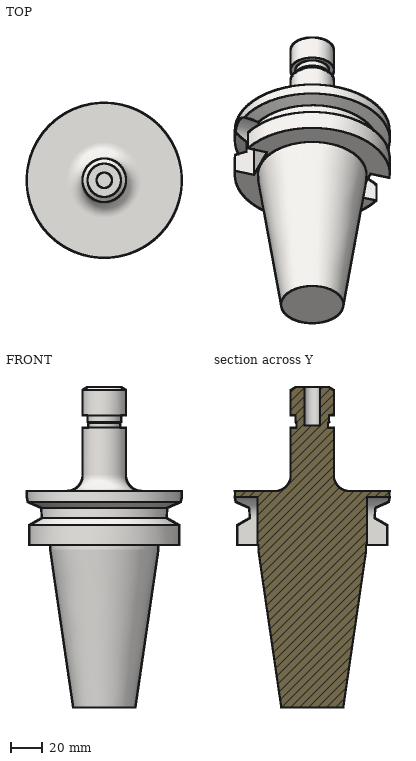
import cadquery as cq

taper_ratio = 7 / 24
gauge_radius = 35.0
gauge_height = 101.7
taper_end_radius = gauge_radius - gauge_height * taper_ratio / 2

flange_radius = 50.0
flange_bottom = 104.8
flange_top = 139.8
groove_radius = 42.4
groove_floor_bottom = 122.2
groove_floor_top = 128.8
lower_rim_top = 117.7
upper_rim_bottom = 132.5

slot_width = 25.6
slot_top = 135.7
slot_floor_distance = 35.4

total_height = 206.8
stem_radius = 14.0
stem_fillet = 10.0
stem_top = 180.5
neck_radius = 10.3
collar_radius = 11.0
collar_bottom = 184.3
collar_chamfer = collar_radius - neck_radius
nut_bottom = 188.4
nut_face_radius = 10.8
nut_chamfer_height = 2.0
bore_radius = 5.0
bore_depth = 24.8


def make_body():
    """Revolve the half profile of the whole holder about Z."""
    profile = (
        cq.Workplane("XZ")
        .lineTo(taper_end_radius, 0)
        .lineTo(gauge_radius, gauge_height)
        .lineTo(gauge_radius, flange_bottom)
        .lineTo(flange_radius, flange_bottom)
        .lineTo(flange_radius, lower_rim_top)
        .lineTo(groove_radius, groove_floor_bottom)
        .lineTo(groove_radius, groove_floor_top)
        .lineTo(flange_radius, upper_rim_bottom)
        .lineTo(flange_radius, flange_top)
        .lineTo(stem_radius + stem_fillet, flange_top)
        .radiusArc((stem_radius, flange_top + stem_fillet), stem_fillet)
        .lineTo(stem_radius, stem_top)
        .lineTo(neck_radius, stem_top)
        .lineTo(neck_radius, collar_bottom - collar_chamfer)
        .lineTo(collar_radius, collar_bottom)
        .lineTo(collar_radius, nut_bottom)
        .lineTo(stem_radius, nut_bottom)
        .lineTo(stem_radius, total_height - nut_chamfer_height)
        .lineTo(nut_face_radius, total_height)
        .lineTo(0, total_height)
        .close()
    )
    return profile.revolve(360, (0, 0, 0), (0, 1, 0))


def make_drive_slot(side):
    """Round-topped cutter for one drive slot; side is +1 for +X, -1 for -X."""
    half_width = slot_width / 2
    arch_start = slot_top - half_width
    return (
        cq.Workplane("YZ", origin=(side * slot_floor_distance, 0, 0))
        .moveTo(-half_width, flange_bottom)
        .lineTo(-half_width, arch_start)
        .threePointArc((0, slot_top), (half_width, arch_start))
        .lineTo(half_width, flange_bottom)
        .close()
        .extrude(side * flange_radius)
    )


def make_bore():
    """Blind collet bore in the top face of the nut."""
    bore_floor = cq.Workplane("XY", origin=(0, 0, total_height - bore_depth))
    return bore_floor.circle(bore_radius).extrude(bore_depth)


result = make_body()
for side in (-1, 1):
    result = result.cut(make_drive_slot(side))
result = result.cut(make_bore())